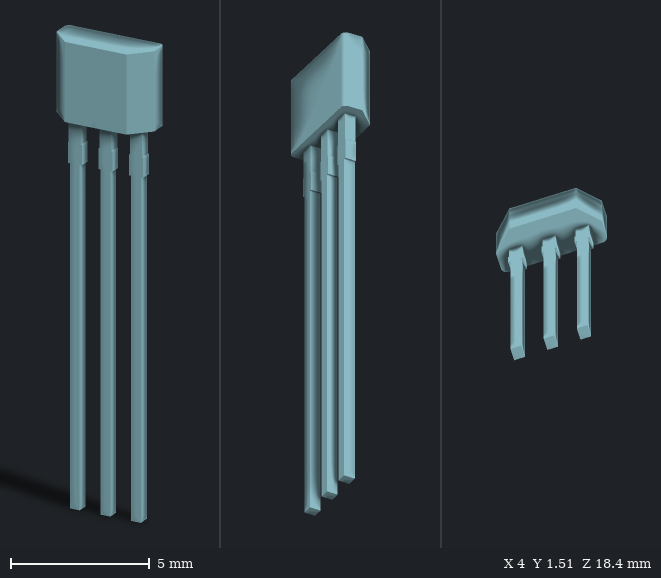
import cadquery as cq

total_height = 18.45
housing_width = 4.0
housing_depth = 1.51
housing_height = 3.12
front_chamfer = 0.74
rear_corner_radius = 0.2

lead_count = 3
lead_pitch = 1.25
lead_thickness = 0.45
lead_front_setback = 0.74
neck_width = 0.5
neck_length = 1.1
shoulder_width = 0.57
shoulder_length = 0.8
tip_width = 0.4

housing_bottom = total_height - housing_height
shoulder_top = housing_bottom - neck_length
shoulder_bottom = shoulder_top - shoulder_length


def make_housing():
    """Block with chamfered front corners and rounded rear corners; front face at Y = 0."""
    block = cq.Workplane("XY").box(
        housing_width, housing_depth, housing_height, centered=(True, False, False)
    )
    block = block.faces("<Y").edges("|Z").chamfer(front_chamfer)
    block = block.faces(">Y").edges("|Z").fillet(rear_corner_radius)
    return block.translate((0, 0, housing_bottom))


def make_lead(center_x):
    """Flat lead with a neck, a wider shoulder and a slim straight tip."""
    right_side = [
        (tip_width / 2, 0),
        (tip_width / 2, shoulder_bottom),
        (shoulder_width / 2, shoulder_bottom),
        (shoulder_width / 2, shoulder_top),
        (neck_width / 2, shoulder_top),
        (neck_width / 2, housing_bottom),
    ]
    left_side = [(-x, z) for x, z in reversed(right_side)]
    lead = cq.Workplane("XZ").polyline(right_side + left_side).close().extrude(-lead_thickness)
    return lead.translate((center_x, lead_front_setback, 0))


housing = make_housing()

leads = []
for index in range(lead_count):
    lead_x = (index - (lead_count - 1) / 2) * lead_pitch
    leads.append(make_lead(lead_x).val())

result = cq.Compound.makeCompound([housing.val(), *leads])